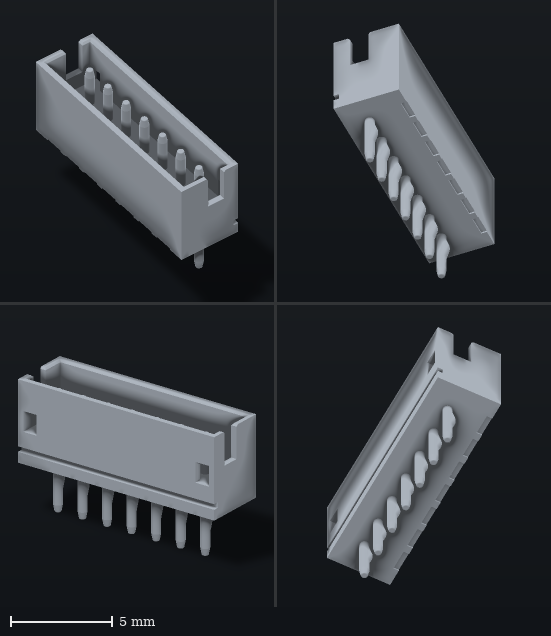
import cadquery as cq
import math


length = 12.0
width = 3.5
height = 4.5
side_wall = 0.33
long_wall = 0.4
lead_in = 0.1

shelf_z = 1.75
shelf_edge_y = -0.16
ramp_size = 0.25

slot_width = 1.0
slot_y = 0.38
slot_floor_z = 2.66

window_inner_x = 4.85
window_top_z = 2.87

groove_size = 0.3
groove_z = 0.585

recess_width = 1.1
recess_height = 0.08
recess_depth = 0.3

pin_count = 7
pin_pitch = 1.5
pin_y = 0.45
pin_radius = 0.25
pin_top_z = 3.91
pin_bottom_z = -2.7
taper_length = 0.42
tip_radius = 0.17
tip_fillet = 0.07

rib_top_z = -0.21
rib_height = 1.33
rib_radius = pin_radius - 0.0001
bend_angle = math.radians(20)
bend_radius = 0.36

cavity_half_length = length / 2 - side_wall
cavity_half_width = width / 2 - long_wall


def box(x_range, y_range, z_range):
    """Axis-aligned box given by its limits."""
    sizes = [high - low for low, high in (x_range, y_range, z_range)]
    corner = (x_range[0], y_range[0], z_range[0])
    return cq.Workplane("XY").box(*sizes, centered=False).translate(corner)


def extrude_along_x(points, half_length):
    """Prism from a YZ outline, symmetric about X = 0."""
    return cq.Workplane("YZ").polyline(points).close().extrude(half_length, both=True)


def make_cavity():
    ramp_end_y = shelf_edge_y - ramp_size
    lower_floor_z = shelf_z - ramp_size
    pocket = extrude_along_x(
        [
            (-cavity_half_width, height),
            (-cavity_half_width, lower_floor_z),
            (ramp_end_y, lower_floor_z),
            (shelf_edge_y, shelf_z),
            (cavity_half_width, shelf_z),
            (cavity_half_width, height),
        ],
        cavity_half_length,
    )
    mouth = (
        cq.Workplane("XY", origin=(0, 0, height))
        .rect(2 * (cavity_half_length + lead_in), 2 * (cavity_half_width + lead_in))
        .extrude(-lead_in, taper=45)
    )
    return pocket.union(mouth)


def make_end_slots():
    """One cutter through both end walls, with a chamfered mouth."""
    low_y = slot_y - slot_width / 2
    high_y = slot_y + slot_width / 2
    return extrude_along_x(
        [
            (low_y, slot_floor_z),
            (high_y, slot_floor_z),
            (high_y, height - lead_in),
            (high_y + lead_in, height),
            (low_y - lead_in, height),
            (low_y, height - lead_in),
        ],
        length / 2,
    )


def make_windows():
    y_range = (cavity_half_width, width / 2)
    z_range = (shelf_z, window_top_z)
    right = box((window_inner_x, cavity_half_length), y_range, z_range)
    left = box((-cavity_half_length, -window_inner_x), y_range, z_range)
    return right.union(left)


def make_groove():
    y_range = (width / 2 - groove_size, width / 2)
    return box((-length / 2, length / 2), y_range, (groove_z, groove_z + groove_size))


def make_recess(x):
    x_range = (x - recess_width / 2, x + recess_width / 2)
    return box(x_range, (-width / 2, -width / 2 + recess_depth), (0, recess_height))


def make_rib():
    """Round bar that bows out of the pin: bend out, slope, crest, slope, bend back."""
    outer_radius = bend_radius + pin_radius
    sine = math.sin(bend_angle)
    cosine = math.cos(bend_angle)
    slope_height = rib_height / 2 - (outer_radius + bend_radius) * sine
    bend_out = outer_radius * (1 - cosine)
    bend_down = outer_radius * sine
    slope_out = bend_out + slope_height * math.tan(bend_angle)
    slope_down = bend_down + slope_height
    crest_out = slope_out + bend_radius * (1 - cosine)
    half_bend_out = outer_radius * (1 - math.cos(bend_angle / 2))
    half_bend_down = outer_radius * math.sin(bend_angle / 2)

    def at(out, down):
        return (pin_y - out, rib_top_z - down)

    centre_line = (
        cq.Workplane("YZ")
        .moveTo(*at(0, 0))
        .threePointArc(at(half_bend_out, half_bend_down), at(bend_out, bend_down))
        .lineTo(*at(slope_out, slope_down))
        .threePointArc(at(crest_out, rib_height / 2), at(slope_out, rib_height - slope_down))
        .lineTo(*at(bend_out, rib_height - bend_down))
        .threePointArc(at(half_bend_out, rib_height - half_bend_down), at(0, rib_height))
    )
    return cq.Workplane("XY", origin=(0, pin_y, rib_top_z)).circle(rib_radius).sweep(centre_line)


def make_pin():
    profile = [
        (0, pin_bottom_z),
        (tip_radius, pin_bottom_z),
        (pin_radius, pin_bottom_z + taper_length),
        (pin_radius, pin_top_z - taper_length),
        (tip_radius, pin_top_z),
        (0, pin_top_z),
    ]
    shaft = cq.Workplane("XZ").polyline(profile).close().revolve(360, (0, 0), (0, 1))
    shaft = shaft.faces("<Z or >Z").edges().fillet(tip_fillet)
    return shaft.translate((0, pin_y, 0)).union(make_rib())


housing = cq.Workplane("XY").box(length, width, height, centered=(True, True, False))
housing = housing.cut(make_cavity()).cut(make_end_slots())
housing = housing.cut(make_windows()).cut(make_groove())

pin = make_pin()
result = housing
for index in range(pin_count):
    pin_x = (index - (pin_count - 1) / 2) * pin_pitch
    result = result.cut(make_recess(pin_x)).union(pin.translate((pin_x, 0, 0)))